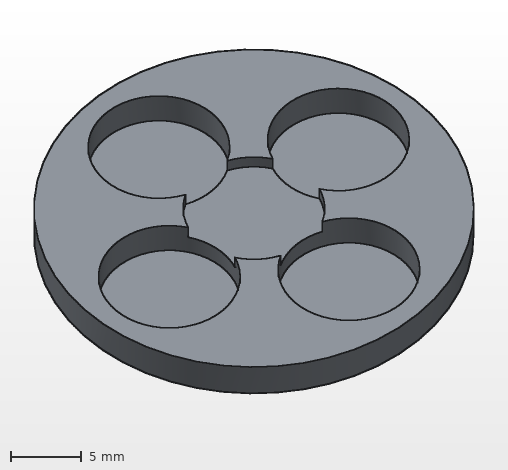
import cadquery as cq

disc_diameter = 31.1
disc_height = 2.7
floor_thickness = 0.2

pocket_diameter = 10.0
pocket_spacing = 9.0
outer_pocket_depth = disc_height - floor_thickness
center_pocket_depth = 1.0


def make_disc():
    """Plain round disc standing on the XY plane."""
    return cq.Workplane("XY").circle(disc_diameter / 2).extrude(disc_height)


def make_pockets(centers, depth):
    """Round cutters reaching down from the top face."""
    top_plane = cq.Workplane("XY", origin=(0, 0, disc_height))
    return top_plane.pushPoints(centers).circle(pocket_diameter / 2).extrude(-depth)


outer_centers = [
    (pocket_spacing, 0),
    (0, pocket_spacing),
    (-pocket_spacing, 0),
    (0, -pocket_spacing),
]

result = make_disc()
result = result.cut(make_pockets(outer_centers, outer_pocket_depth))
result = result.cut(make_pockets([(0, 0)], center_pocket_depth))